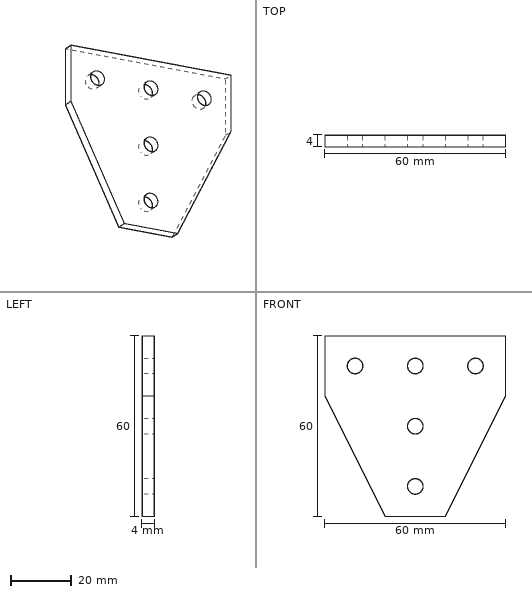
import cadquery as cq

module = 20.0
thickness = 4.0
hole_diameter = 5.1

half_width = 1.5 * module
half_height = 1.5 * module
half_foot = module / 2
shoulder_z = half_height - module


def back_plane():
    """XZ plane on the back face of the plate, with extrusion running toward -Y."""
    return cq.Workplane("XZ", origin=(0, thickness / 2, 0))


def plate():
    """T-shaped joining plate with tapered sides, centred on the origin."""
    outline = [
        (-half_width, half_height),
        (half_width, half_height),
        (half_width, shoulder_z),
        (half_foot, -half_height),
        (-half_foot, -half_height),
        (-half_width, shoulder_z),
    ]
    return back_plane().polyline(outline).close().extrude(thickness)


def screw_holes():
    """Through-hole cutters: three along the crossbar, two more down the stem."""
    crossbar = [(column * module, module) for column in (-1, 0, 1)]
    stem = [(0, row * module) for row in (0, -1)]
    return (
        back_plane()
        .pushPoints(crossbar + stem)
        .circle(hole_diameter / 2)
        .extrude(thickness)
    )


result = plate().cut(screw_holes())